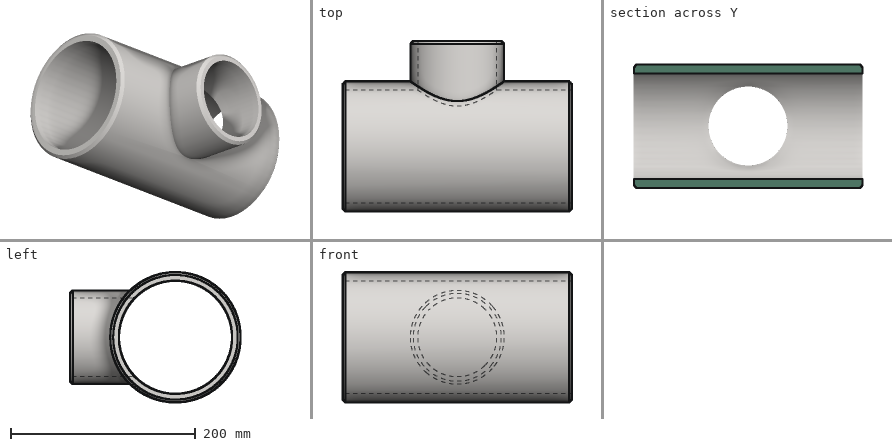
import cadquery as cq

run_length = 247.9
run_diameter = 141.3
run_wall = 9.525
branch_diameter = 101.6
branch_wall = 8.08
branch_reach = 114.3
bevel = 3.175

run_bore = run_diameter - 2 * run_wall
branch_bore = branch_diameter - 2 * branch_wall


def run_cylinder(diameter):
    """Cylinder along X over the full run, centred on the origin."""
    return cq.Workplane("YZ").circle(diameter / 2).extrude(run_length / 2, both=True)


def branch_cylinder(diameter):
    """Cylinder along +Y from the run axis to the branch end face."""
    return cq.Workplane("XZ").circle(diameter / 2).extrude(-branch_reach)


def tee_body():
    """Solid outside of the tee with its three open ends beveled."""
    run = run_cylinder(run_diameter).faces("<X or >X").edges().chamfer(bevel)
    branch = branch_cylinder(branch_diameter).faces(">Y").edges().chamfer(bevel)
    return run.union(branch)


def tee_passages():
    """Joined bores of the run and the branch."""
    return run_cylinder(run_bore).union(branch_cylinder(branch_bore))


result = tee_body().cut(tee_passages())